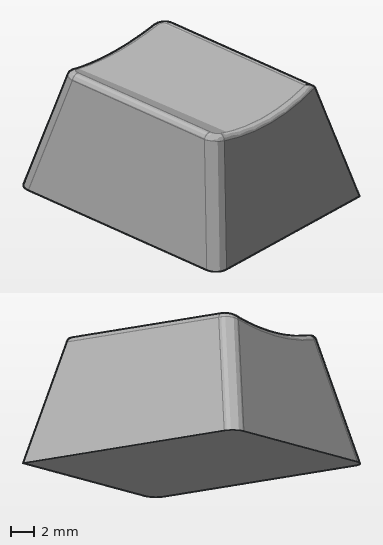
import cadquery as cq
import math

length_x = 23.05
width_y = 18.3
draft_angle = 14.0
blank_height = 12.68

dish_low_height = 10.45
dish_radius = 21.9

corner_radius = 1.25
rim_radius = 0.6


def tapered_body():
    """Rectangular block whose four walls lean inward, taller than the finished part."""
    return cq.Workplane("XY").rect(length_x, width_y).extrude(blank_height, taper=draft_angle)


def dish_cutter():
    """Cylinder along X that scoops the top, lowest along the middle line."""
    return (
        cq.Workplane("YZ")
        .center(0, dish_low_height + dish_radius)
        .circle(dish_radius)
        .extrude(length_x / 2, both=True)
    )


def round_corners(body):
    """Round every upright corner except the one at +X +Y, which stays sharp."""
    inset = blank_height / 2 * math.tan(math.radians(draft_angle))
    corner_x = length_x / 2 - inset
    corner_y = width_y / 2 - inset
    for side_x, side_y in ((-1, -1), (1, -1), (-1, 1)):
        middle = (side_x * corner_x, side_y * corner_y, blank_height / 2)
        body = body.edges(cq.selectors.NearestToPointSelector(middle)).fillet(corner_radius)
    return body


scooped_body = round_corners(tapered_body()).cut(dish_cutter())
top_face = scooped_body.faces(cq.selectors.NearestToPointSelector((0, 0, dish_low_height)))
result = top_face.edges().fillet(rim_radius)